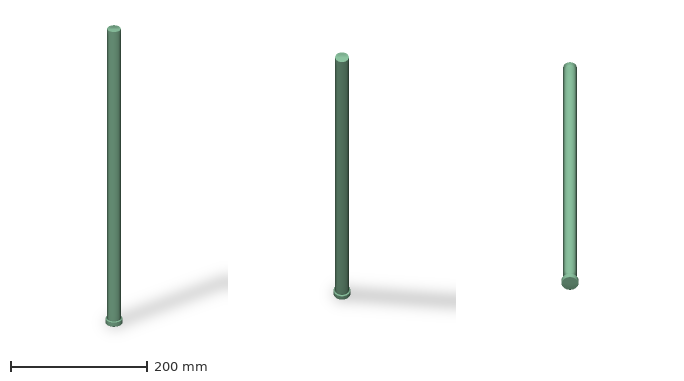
import cadquery as cq

total_length = 500.0
shaft_diameter = 20.0
head_diameter = 25.0
head_height = 8.0
head_chamfer = 0.5

head = (
    cq.Workplane("XY")
    .circle(head_diameter / 2)
    .extrude(head_height)
    .edges()
    .chamfer(head_chamfer)
)

shaft = cq.Workplane("XY").circle(shaft_diameter / 2).extrude(total_length)

result = head.union(shaft)